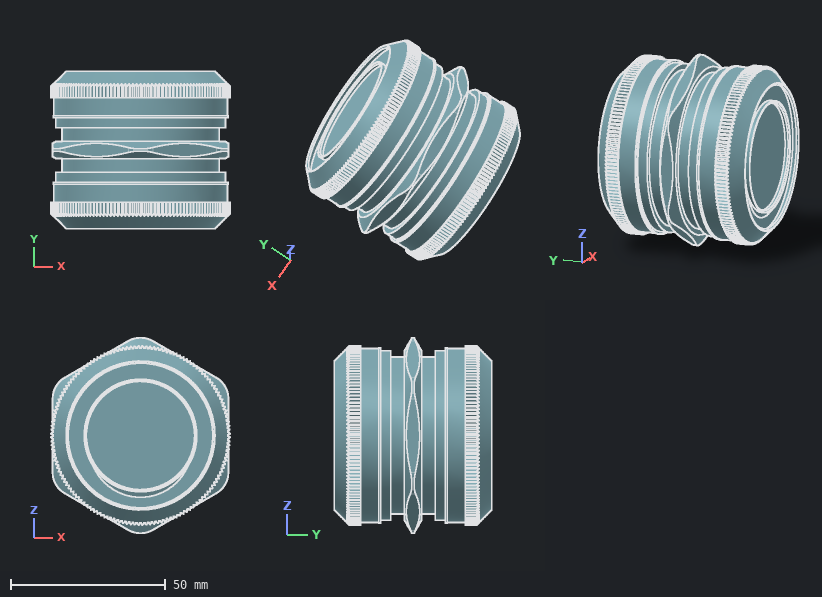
import cadquery as cq
import math

half_length = 25.485
flange_half = 2.8

knurl_end = 8.6
lip_start = 14.45
lip_end = 15.1
collar_end = 18.3

neck_radius = 51.0 / 2
collar_radius = 55.0 / 2
lip_radius = 56.7 / 2
cap_radius = 28.2
knurl_radius = 29.0
end_radius = 24.1

tooth_count = 144
tooth_depth = 0.75

hex_flats = 57.0
hex_corner_span = 63.3
hex_face_radius = 27.4
hex_bevel_angle = 30.0

recess_depth = 2.2
recess_lip_radius = 46.8 / 2
recess_mouth_radius = 23.95
recess_floor_radius = 24.45
tube_setback = 0.7
tube_radius = 18.25
tube_mouth_radius = 18.0
tube_bore_radius = 35.0 / 2

bulge_radius = 16.65
bulge_offset = 3.35
bulge_height = 0.95
bulge_top_radius = 14.1


def revolve_about_y(points):
    """Turn a closed (radius, y) outline about the Y axis."""
    return cq.Workplane("XY").polyline(points).close().revolve(360, (0, 0, 0), (0, 1, 0))


def mirrored_pair(body):
    """Join a body on the -Y side with its mirror image on the +Y side."""
    return body.union(body.mirror("XZ"))


def cap_body():
    """Turned steps of one cap, from its end to the middle of the part."""
    cone_length = cap_radius - end_radius
    end = -half_length
    return revolve_about_y([
        (0, end),
        (end_radius, end),
        (cap_radius, end + cone_length),
        (cap_radius, end + lip_start),
        (lip_radius, end + lip_start),
        (lip_radius, end + lip_end),
        (collar_radius, end + lip_end),
        (collar_radius, end + collar_end),
        (neck_radius, end + collar_end),
        (neck_radius, 0),
        (0, 0),
    ])


def knurl_ring():
    """Straight V-toothed ring, trimmed by the 45 degree cone of the cap."""
    pitch = 2 * math.pi / tooth_count
    outline = []
    for tooth in range(tooth_count):
        for radius, angle in (
            (knurl_radius - tooth_depth, tooth * pitch),
            (knurl_radius, (tooth + 0.5) * pitch),
        ):
            outline.append((radius * math.cos(angle), radius * math.sin(angle)))
    end = -half_length
    teeth = (
        cq.Workplane("XZ", origin=(0, end + knurl_end, 0))
        .polyline(outline)
        .close()
        .extrude(knurl_end)
    )
    trim_radius = knurl_radius + tooth_depth
    cone = revolve_about_y([
        (0, end),
        (end_radius, end),
        (trim_radius, end + trim_radius - end_radius),
        (trim_radius, end + knurl_end),
        (0, end + knurl_end),
    ])
    return teeth.intersect(cone)


def end_recess():
    """Recess with a bevelled mouth lip and a wall that flares out to its floor."""
    end = -half_length
    floor = end + recess_depth
    return revolve_about_y([
        (0, end),
        (recess_mouth_radius, end),
        (recess_lip_radius, end + recess_mouth_radius - recess_lip_radius),
        (recess_floor_radius, floor),
        (0, floor),
    ])


def end_tube():
    """Tube with a bevelled mouth and the seal bulge around its lower side."""
    floor = -half_length + recess_depth
    tube_end = -half_length + tube_setback
    mouth_bevel = tube_mouth_radius - tube_bore_radius
    tube = revolve_about_y([
        (0, floor),
        (tube_radius, floor),
        (tube_radius, tube_end),
        (0, tube_end),
    ])
    bulge = cq.Workplane(cq.Solid.makeCone(
        bulge_radius,
        bulge_top_radius,
        bulge_height,
        cq.Vector(0, floor, -bulge_offset),
        cq.Vector(0, -1, 0),
    ))
    bore = revolve_about_y([
        (0, tube_end),
        (tube_mouth_radius, tube_end),
        (tube_bore_radius, tube_end + mouth_bevel),
        (tube_bore_radius, floor),
        (0, floor),
    ])
    return tube.union(bulge).cut(bore)


def hex_flange():
    """Hexagon with rounded corners, two of them at +Z and -Z, bevelled on both sides."""
    sharp_corner_span = hex_flats / math.cos(math.pi / 6)
    corner_gap = (sharp_corner_span - hex_corner_span) / 2
    corner_radius = corner_gap / (1 / math.cos(math.pi / 6) - 1)
    prism = (
        cq.Workplane("XZ")
        .transformed(rotate=(0, 0, 90))
        .polygon(6, sharp_corner_span)
        .extrude(flange_half, both=True)
        .edges("|Y")
        .fillet(corner_radius)
    )
    rim_radius = hex_corner_span / 2
    bevel_drop = (rim_radius - hex_face_radius) * math.tan(math.radians(hex_bevel_angle))
    rim_half = flange_half - bevel_drop
    envelope = revolve_about_y([
        (0, -flange_half),
        (hex_face_radius, -flange_half),
        (rim_radius, -rim_half),
        (rim_radius, rim_half),
        (hex_face_radius, flange_half),
        (0, flange_half),
    ])
    return prism.intersect(envelope)


cap = cap_body().union(knurl_ring()).cut(end_recess()).union(end_tube())
result = mirrored_pair(cap).union(hex_flange())